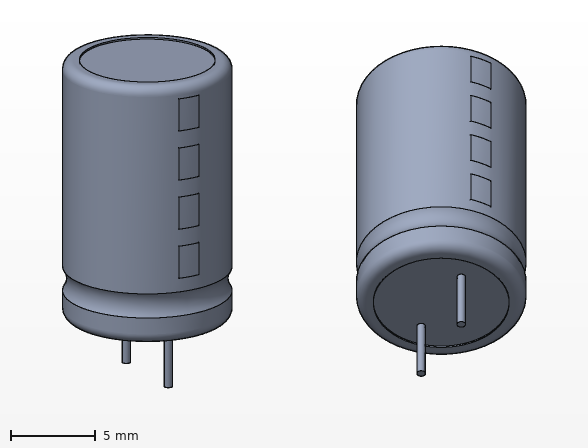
import cadquery as cq
import math


case_diameter = 10.0
case_height = 16.0
edge_radius = 0.6
sleeve_thickness = 0.1
end_opening_diameter = 8.0

groove_center_z = 2.39
groove_width = 1.5
groove_depth = 0.24

dash_count = 4
dash_length = 2.0
dash_width = 1.36
dash_pitch = 3.06
lowest_dash_bottom_z = 3.99

lead_diameter = 0.5
lead_pitch = 5.0
lead_protrusion = 3.6

case_radius = case_diameter / 2
groove_arc_radius = ((groove_width / 2) ** 2 + groove_depth ** 2) / (2 * groove_depth)
groove_arc_center_r = case_radius - groove_depth + groove_arc_radius


def case_solid(inset):
    """Solid of revolution with the case's outer form, offset inwards by `inset`."""
    radius = case_radius - inset
    bottom = inset
    top = case_height - inset
    fillet = edge_radius - inset
    fillet_shift = fillet * (1 - math.sqrt(0.5))

    arc_radius = groove_arc_radius + inset
    waist_radius = groove_arc_center_r - arc_radius
    groove_half_width = math.sqrt(arc_radius ** 2 - (groove_arc_center_r - radius) ** 2)

    return (
        cq.Workplane("XZ")
        .moveTo(0, bottom)
        .lineTo(radius - fillet, bottom)
        .threePointArc((radius - fillet_shift, bottom + fillet_shift), (radius, bottom + fillet))
        .lineTo(radius, groove_center_z - groove_half_width)
        .threePointArc((waist_radius, groove_center_z), (radius, groove_center_z + groove_half_width))
        .lineTo(radius, top - fillet)
        .threePointArc((radius - fillet_shift, top - fillet_shift), (radius - fillet, top))
        .lineTo(0, top)
        .close()
        .revolve(360, (0, 0, 0), (0, 1, 0))
    )


def make_can():
    """Can that fills the inside of the sleeve."""
    return case_solid(sleeve_thickness)


def make_sleeve_shell():
    """Thin shell around the can, folded over both ends and open in the middle of each."""
    end_openings = cq.Workplane("XY").circle(end_opening_diameter / 2).extrude(case_height)
    return case_solid(0).cut(make_can()).cut(end_openings)


def make_dash(bottom_z):
    """Upright dash with the sleeve's curvature and thickness."""
    outline = (
        cq.Workplane("XY", origin=(0, 0, bottom_z))
        .rect(case_radius, dash_width)
        .extrude(dash_length)
        .translate((case_radius, 0, 0))
    )
    return make_sleeve_shell().intersect(outline)


def make_lead(x):
    """Round wire running straight down from the underside of the can."""
    return (
        cq.Workplane("XY", origin=(x, 0, -lead_protrusion))
        .circle(lead_diameter / 2)
        .extrude(lead_protrusion + sleeve_thickness)
    )


can = make_can()
dashes = [make_dash(lowest_dash_bottom_z + i * dash_pitch) for i in range(dash_count)]
leads = [make_lead(side * lead_pitch / 2) for side in (-1, 1)]

sleeve = make_sleeve_shell()
for dash in dashes:
    sleeve = sleeve.cut(dash)

bodies = [sleeve, can, *dashes, *leads]
result = cq.Compound.makeCompound([body.solids().val() for body in bodies])